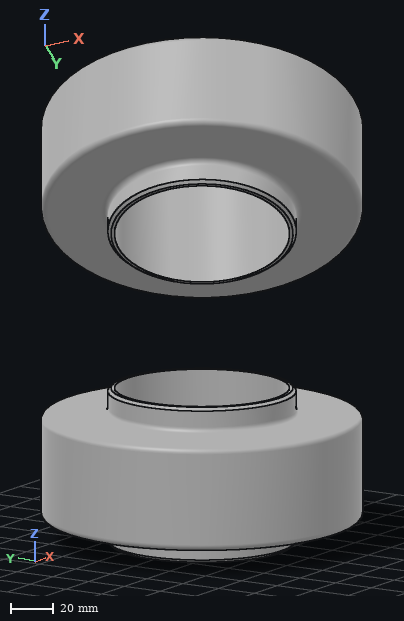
import cadquery as cq

body_diameter = 152.0
body_height = 50.0
total_height = 75.0
collar_diameter = 88.9
bore_diameter = 82.5
rim_fillet = 3.0
root_fillet = 3.0
collar_chamfer = 1.5

body_radius = body_diameter / 2
collar_radius = collar_diameter / 2
bore_radius = bore_diameter / 2
body_top = body_height / 2
collar_top = total_height / 2

selection_tolerance = 0.02


def ring_edges(part, radius, height):
    """Select the circular edges of one radius at +height and -height."""
    return part.edges("%CIRCLE").filter(
        lambda edge: abs(edge.radius() - radius) < selection_tolerance
        and abs(abs(edge.Center().z) - height) < selection_tolerance
    )


body = cq.Workplane("XY").cylinder(body_height, body_radius)
collar = cq.Workplane("XY").cylinder(total_height, collar_radius)
part = body.union(collar)

part = ring_edges(part, body_radius, body_top).fillet(rim_fillet)
part = ring_edges(part, collar_radius, body_top).fillet(root_fillet)
part = ring_edges(part, collar_radius, collar_top).chamfer(collar_chamfer)

bore = cq.Workplane("XY").cylinder(total_height, bore_radius)
result = part.cut(bore)